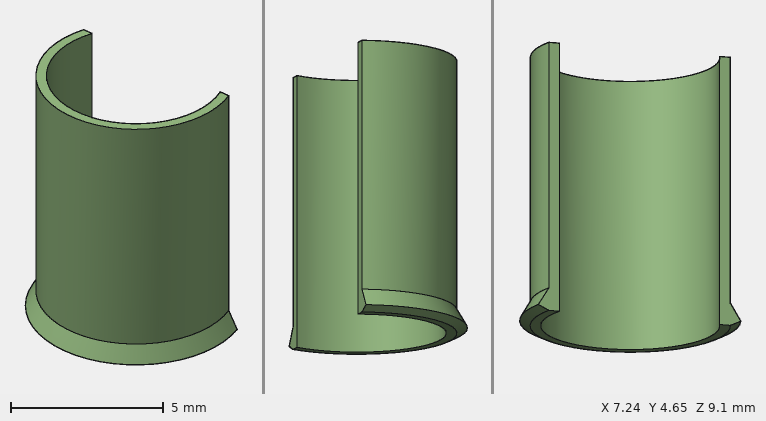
import cadquery as cq

height = 9.1
bore_radius = 2.93
sleeve_radius = 3.28
rim_radius = 3.62
rim_height = 0.17
flare_height = 0.76
opening_y = 1.03


def make_sleeve():
    """Revolve the wall and its flared foot about the Z axis."""
    wall_profile = [
        (bore_radius, 0),
        (sleeve_radius, 0),
        (rim_radius, rim_height),
        (sleeve_radius, flare_height),
        (sleeve_radius, height),
        (bore_radius, height),
    ]
    return cq.Workplane("XZ").polyline(wall_profile).close().revolve(360, (0, 0), (0, 1))


def make_kept_region():
    """Block covering everything on the -Y side of the opening."""
    depth = rim_radius + opening_y
    return (
        cq.Workplane("XY")
        .box(2 * rim_radius, depth, height, centered=(True, False, False))
        .translate((0, -rim_radius, 0))
    )


result = make_sleeve().intersect(make_kept_region())